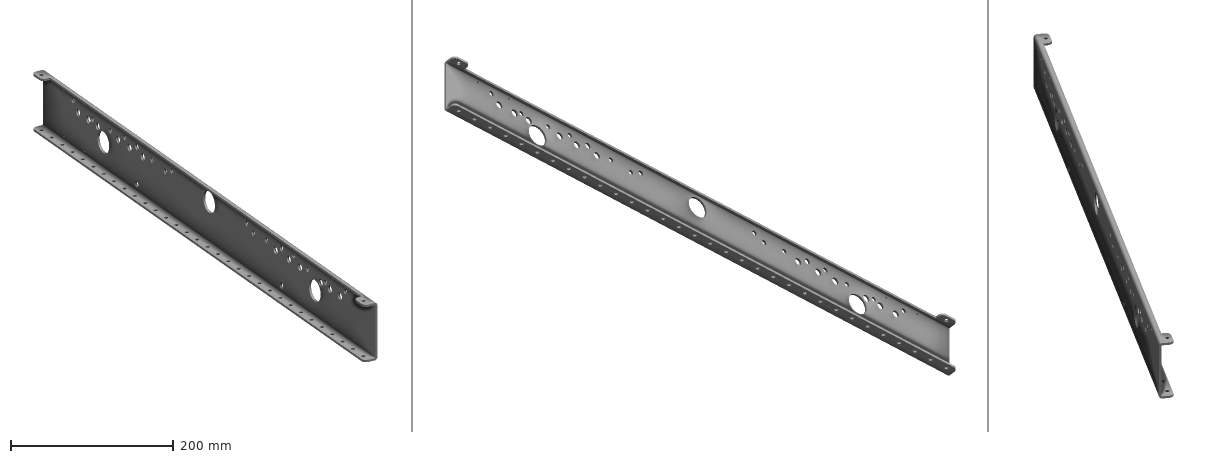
import cadquery as cq

length = 812.8
depth = 19.05
height = 77.72
thickness = 3.04
outer_bend_radius = 3.81
inner_bend_radius = outer_bend_radius - thickness

front_y = -depth / 2
back_y = depth / 2

hole_pitch = 25.4
flange_hole_count = round(length / hole_pitch)
flange_hole_diameter = 5.33
flange_hole_y = front_y + hole_pitch / 4
flange_corner_radius = hole_pitch / 4
tab_length = hole_pitch
lip_depth = 7.62

access_hole_diameter = 28.57
centre_access_hole_z = 17.65
side_access_hole = (258.5, -1.9)

large_hole_diameter = 9.65
outer_large_hole_z = 14.2
inner_large_hole_z = 15.62
large_holes = [
    (320.15, outer_large_hole_z),
    (295.25, outer_large_hole_z),
    (272.55, outer_large_hole_z),
    (222.5, inner_large_hole_z),
    (194.9, inner_large_hole_z),
    (162.5, inner_large_hole_z),
]

medium_hole_diameter = 8.13
medium_hole_x = 177.14
medium_holes = [(medium_hole_x, 23.54), (medium_hole_x, -27.16)]

small_hole_diameter = 6.76
small_holes = [
    (332.95, 25.7),
    (284.55, 19.0),
    (241.35, 20.18),
    (206.28, 24.8),
    (139.85, 20.18),
    (107.51, 17.33),
    (91.8, 24.35),
]

pilot_hole_diameter = 2.54
pilot_hole_z = 31.7
pilot_hole_columns = [355.0, 304.8]
pilot_holes = [(x, z) for x in pilot_hole_columns for z in (-pilot_hole_z, pilot_hole_z)]


def channel():
    """C-shaped channel with rounded bends along its back edges."""
    outer = cq.Workplane("XY").box(length, depth, height)
    outer = outer.edges("|X and >Y").fillet(outer_bend_radius)
    inner = cq.Workplane("XY").box(length, depth, height - 2 * thickness)
    inner = inner.edges("|X and >Y").fillet(inner_bend_radius)
    return outer.cut(inner.translate((0, -thickness, 0)))


def top_notch():
    """Space between the end tabs, where the top flange is only a narrow lip."""
    notch_length = length - 2 * tab_length
    notch_depth = depth - lip_depth
    notch = cq.Workplane("XY").box(notch_length, notch_depth, 2 * thickness)
    return notch.translate((0, front_y + notch_depth / 2, height / 2))


def flange_holes():
    """Row of holes along both flanges; only the end ones meet the top flange."""
    return (
        cq.Workplane("XY")
        .center(0, flange_hole_y)
        .rarray(hole_pitch, 1, flange_hole_count, 1)
        .circle(flange_hole_diameter / 2)
        .extrude(height, both=True)
    )


def mirrored(points):
    return [(side * x, z) for x, z in points for side in (-1, 1)]


def web_holes(points, diameter):
    """Cylinders that pass through the web at the given (X, Z) points."""
    web = cq.Workplane("XZ", origin=(0, back_y, 0)).pushPoints(points)
    return web.circle(diameter / 2).extrude(2 * thickness, both=True)


result = channel().cut(top_notch())
result = result.edges("|Z and <Y").fillet(flange_corner_radius)
result = result.cut(flange_holes())
result = result.cut(web_holes([(0, centre_access_hole_z)], access_hole_diameter))
result = result.cut(web_holes(mirrored([side_access_hole]), access_hole_diameter))
result = result.cut(web_holes(mirrored(large_holes), large_hole_diameter))
result = result.cut(web_holes(mirrored(medium_holes), medium_hole_diameter))
result = result.cut(web_holes(mirrored(small_holes), small_hole_diameter))
result = result.cut(web_holes(mirrored(pilot_holes), pilot_hole_diameter))